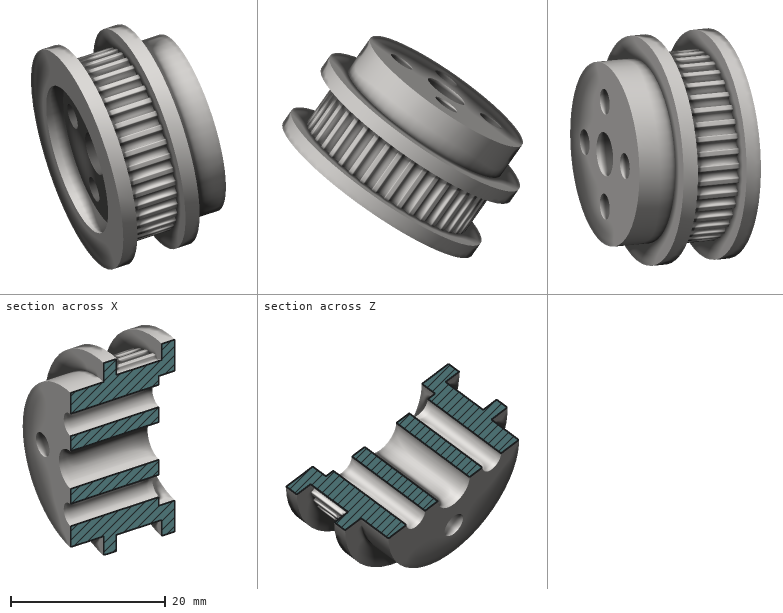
import cadquery as cq
import math

flange_diameter = 30.0
flange_thickness = 2.0
belt_width = 6.8
hub_diameter = 24.1
hub_length = 5.0

tooth_count = 40
belt_pitch = 2.0
pitch_line_offset = 0.254
pitch_radius = tooth_count * belt_pitch / (2 * math.pi)
tip_radius = pitch_radius - pitch_line_offset
groove_depth = 0.75
groove_bottom_radius = 0.555
groove_flank_radius = 1.0
flank_centre_offset = 0.4
tip_round_radius = 0.15

recess_diameter = 20.1
recess_depth = 2.4
bore_diameter = 5.8
bolt_hole_diameter = 3.4
bolt_circle_radius = 7.0
bolt_hole_count = 4

rear_flange_start = flange_thickness + belt_width
hub_start = rear_flange_start + flange_thickness
total_length = hub_start + hub_length


def disc(diameter, start, length):
    """Round slab on the pulley axis, running from Y = start towards +Y."""
    return cq.Workplane("XZ", origin=(0, start, 0)).circle(diameter / 2).extrude(-length)


def point_on_circle(centre, radius, angle):
    return (centre[0] + radius * math.cos(angle), centre[1] + radius * math.sin(angle))


def direction(start, end):
    return math.atan2(end[1] - start[1], end[0] - start[0])


def groove_points():
    """Half of one groove centred on the +Y direction of the sketch, from bottom to tip.

    The groove bottom arc runs tangent into a larger flank arc centred across the groove,
    and the flank runs tangent into the tip round, which is tangent to the tip circle.
    """
    bottom_centre = (0, tip_radius - groove_depth + groove_bottom_radius)
    centre_distance = groove_flank_radius - groove_bottom_radius
    flank_rise = math.sqrt(centre_distance**2 - flank_centre_offset**2)
    flank_centre = (-flank_centre_offset, bottom_centre[1] + flank_rise)

    axis_to_flank = math.hypot(*flank_centre)
    axis_to_round = tip_radius - tip_round_radius
    flank_to_round = groove_flank_radius + tip_round_radius
    cosine = (axis_to_flank**2 + axis_to_round**2 - flank_to_round**2) / (2 * axis_to_flank * axis_to_round)
    round_direction = direction((0, 0), flank_centre) - math.acos(cosine)
    round_centre = point_on_circle((0, 0), axis_to_round, round_direction)

    flank_start_angle = direction(flank_centre, bottom_centre)
    flank_end_angle = direction(flank_centre, round_centre)
    flank_mid_angle = (flank_start_angle + flank_end_angle) / 2
    round_mid_angle = (flank_end_angle + math.pi + round_direction) / 2
    return {
        "bottom": (0, tip_radius - groove_depth),
        "flank_start": point_on_circle(flank_centre, groove_flank_radius, flank_start_angle),
        "flank_mid": point_on_circle(flank_centre, groove_flank_radius, flank_mid_angle),
        "flank_end": point_on_circle(flank_centre, groove_flank_radius, flank_end_angle),
        "round_mid": point_on_circle(round_centre, tip_round_radius, round_mid_angle),
        "tip": point_on_circle((0, 0), tip_radius, round_direction),
    }


def mirrored(point):
    return (-point[0], point[1])


def turned(point, angle):
    """Turn a sketch point clockwise about the pulley axis."""
    x, y = point
    return (
        x * math.cos(angle) + y * math.sin(angle),
        y * math.cos(angle) - x * math.sin(angle),
    )


def toothed_rim():
    """Belt seat with a tooth centred on each of the X and Z axes."""
    groove = groove_points()
    tooth_angle = 2 * math.pi / tooth_count
    left_side = {name: mirrored(point) for name, point in groove.items()}
    tooth_middle = turned((0, tip_radius), tooth_angle / 2)
    next_tip = turned(left_side["tip"], tooth_angle)
    arcs = [
        (left_side["round_mid"], left_side["flank_end"]),
        (left_side["flank_mid"], left_side["flank_start"]),
        (groove["bottom"], groove["flank_start"]),
        (groove["flank_mid"], groove["flank_end"]),
        (groove["round_mid"], groove["tip"]),
        (tooth_middle, next_tip),
    ]
    first_groove_angle = tooth_angle / 2
    outline = cq.Workplane("XZ", origin=(0, flange_thickness, 0))
    outline = outline.moveTo(*turned(left_side["tip"], first_groove_angle))
    for index in range(tooth_count):
        angle = first_groove_angle + index * tooth_angle
        for middle, end in arcs:
            outline = outline.threePointArc(turned(middle, angle), turned(end, angle))
    return outline.close().extrude(-belt_width)


def bolt_holes():
    return (
        cq.Workplane("XZ")
        .polarArray(bolt_circle_radius, 0, 360, bolt_hole_count)
        .circle(bolt_hole_diameter / 2)
        .extrude(-total_length)
    )


result = disc(flange_diameter, 0, flange_thickness)
result = result.union(toothed_rim())
result = result.union(disc(flange_diameter, rear_flange_start, flange_thickness))
result = result.union(disc(hub_diameter, hub_start, hub_length))
result = result.cut(disc(recess_diameter, 0, recess_depth))
result = result.cut(disc(bore_diameter, 0, total_length))
result = result.cut(bolt_holes())